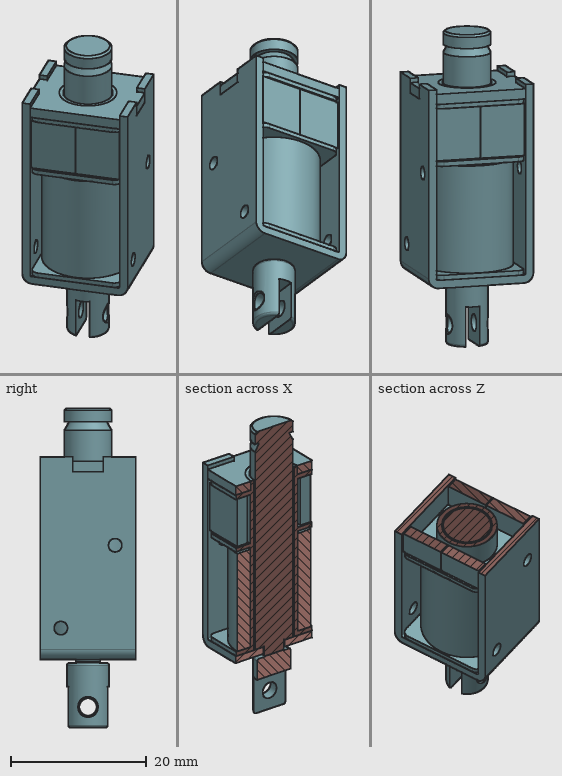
import cadquery as cq

FRAME_WIDTH = 16.1
FRAME_DEPTH = 14.1
FRAME_HEIGHT = 29.85
WALL = 1.2
BEND_RADIUS = 1.5
INNER_BEND_RADIUS = BEND_RADIUS - WALL
INNER_WIDTH = FRAME_WIDTH - 2 * WALL
SIDE_HOLE_DIAMETER = 1.97
SIDE_HOLE_Y = 4.0
SIDE_HOLE_LOW_Z = 4.65
SIDE_HOLE_HIGH_Z = 16.83

PLATE_TOP = 29.2
PLATE_THICKNESS = 1.55
PLATE_BOTTOM = PLATE_TOP - PLATE_THICKNESS
TAB_WIDTH = 4.4

BORE_RADIUS = 3.65
COLLAR_RADIUS = 4.25
SLEEVE_RADIUS = 4.45
FLANGE_THICKNESS = 0.7
FLANGE_WIDTH = INNER_WIDTH
FLANGE_DEPTH = 14.0
FLANGE_CORNER = 1.15
MIDDLE_FLANGE_BOTTOM = 18.3
MIDDLE_FLANGE_TOP = MIDDLE_FLANGE_BOTTOM + FLANGE_THICKNESS
UPPER_FLANGE_BOTTOM = PLATE_BOTTOM - FLANGE_THICKNESS
BOBBIN_BOTTOM = WALL
LOWER_FLANGE_TOP = BOBBIN_BOTTOM + FLANGE_THICKNESS

COIL_RADIUS = 6.8
COIL_TOP = 18.0

MAGNET_GAP = 0.1
MAGNET_FLOOR_GAP = 0.15
MAGNET_WIDTH = 6.67
MAGNET_THICKNESS = 1.9
MAGNET_BOTTOM = MIDDLE_FLANGE_TOP + MAGNET_FLOOR_GAP
MAGNET_FACE_Y = 6.75

HEAD_RADIUS = 3.52
HEAD_TOP = 37.0
HEAD_CHAMFER = 0.35
GROOVE_RADIUS = 2.8
GROOVE_TOP = 34.95
GROOVE_BOTTOM = 33.75
ROD_RADIUS = 1.85
ROD_CHAMFER = 0.2
ROD_CLEARANCE = 0.15

TOTAL_HEIGHT = 47.0
FORK_RADIUS = 3.1
FORK_TOP = -0.45
FORK_BOTTOM = HEAD_TOP - TOTAL_HEIGHT
FORK_ROUNDING = 0.38
SLOT_WIDTH = 2.1
SLOT_TOP = -3.95
PIN_HOLE_RADIUS = 1.25
PIN_HOLE_Z = -6.95
PIN_HOLE_CHAMFER = 0.25


def cylinder(radius, bottom, top):
    return cq.Workplane("XY").workplane(offset=bottom).circle(radius).extrude(top - bottom)


def block(width, depth, bottom, top):
    return cq.Workplane("XY").workplane(offset=bottom).rect(width, depth).extrude(top - bottom)


def make_frame():
    frame = block(FRAME_WIDTH, FRAME_DEPTH, 0, FRAME_HEIGHT).edges("|Y and <Z").fillet(BEND_RADIUS)
    cavity = block(INNER_WIDTH, FRAME_DEPTH, WALL, FRAME_HEIGHT)
    frame = frame.cut(cavity.edges("|Y and <Z").fillet(INNER_BEND_RADIUS))
    frame = frame.cut(block(FRAME_WIDTH, TAB_WIDTH, PLATE_BOTTOM, FRAME_HEIGHT))
    frame = frame.cut(cylinder(ROD_RADIUS + ROD_CLEARANCE, 0, WALL))
    side_holes = (
        cq.Workplane("YZ")
        .pushPoints([(SIDE_HOLE_Y, SIDE_HOLE_HIGH_Z), (-SIDE_HOLE_Y, SIDE_HOLE_LOW_Z)])
        .circle(SIDE_HOLE_DIAMETER / 2)
        .extrude(FRAME_WIDTH, both=True)
    )
    return frame.cut(side_holes)


def make_top_plate():
    plate = block(INNER_WIDTH, FRAME_DEPTH, PLATE_BOTTOM, PLATE_TOP)
    plate = plate.union(block(FRAME_WIDTH, TAB_WIDTH, PLATE_BOTTOM, PLATE_TOP))
    return plate.cut(cylinder(COLLAR_RADIUS, PLATE_BOTTOM, PLATE_TOP))


def make_bobbin():
    bobbin = cylinder(SLEEVE_RADIUS, BOBBIN_BOTTOM, PLATE_BOTTOM)
    bobbin = bobbin.union(cylinder(COLLAR_RADIUS, PLATE_BOTTOM, PLATE_TOP))
    for bottom in (BOBBIN_BOTTOM, MIDDLE_FLANGE_BOTTOM, UPPER_FLANGE_BOTTOM):
        flange = block(FLANGE_WIDTH, FLANGE_DEPTH, bottom, bottom + FLANGE_THICKNESS)
        bobbin = bobbin.union(flange.edges("|Z").fillet(FLANGE_CORNER))
    bobbin = bobbin.cut(cylinder(BORE_RADIUS, BOBBIN_BOTTOM, PLATE_TOP))
    return bobbin.cut(make_frame())


def make_coil():
    coil = cylinder(COIL_RADIUS, LOWER_FLANGE_TOP, COIL_TOP)
    return coil.cut(cylinder(SLEEVE_RADIUS, LOWER_FLANGE_TOP, COIL_TOP))


def make_magnet(x_side, y_side):
    x = x_side * (MAGNET_GAP + MAGNET_WIDTH) / 2
    y = y_side * (MAGNET_FACE_Y - MAGNET_THICKNESS / 2)
    magnet = block(MAGNET_WIDTH, MAGNET_THICKNESS, MAGNET_BOTTOM, UPPER_FLANGE_BOTTOM)
    return magnet.translate((x, y, 0))


def make_plunger():
    profile = [
        (0, HEAD_TOP),
        (HEAD_RADIUS - HEAD_CHAMFER, HEAD_TOP),
        (HEAD_RADIUS, HEAD_TOP - HEAD_CHAMFER),
        (HEAD_RADIUS, GROOVE_TOP),
        (GROOVE_RADIUS, GROOVE_TOP),
        (HEAD_RADIUS, GROOVE_BOTTOM),
        (HEAD_RADIUS, WALL),
        (ROD_RADIUS, WALL),
        (ROD_RADIUS, FORK_TOP + ROD_CHAMFER),
        (ROD_RADIUS - ROD_CHAMFER, FORK_TOP),
        (0, FORK_TOP),
    ]
    return cq.Workplane("XZ").polyline(profile).close().revolve(360, (0, 0, 0), (0, 1, 0))


def make_fork():
    fork = cylinder(FORK_RADIUS, FORK_BOTTOM, FORK_TOP).edges().fillet(FORK_ROUNDING)
    pin_hole = (
        cq.Workplane("YZ").center(0, PIN_HOLE_Z).circle(PIN_HOLE_RADIUS).extrude(FORK_RADIUS, both=True)
    )
    fork = fork.cut(pin_hole)
    for side in (-1, 1):
        rim = cq.selectors.BoxSelector(
            (side * FORK_RADIUS / 2, -PIN_HOLE_RADIUS, PIN_HOLE_Z - PIN_HOLE_RADIUS),
            (side * FORK_RADIUS, PIN_HOLE_RADIUS, PIN_HOLE_Z + PIN_HOLE_RADIUS),
        )
        fork = fork.edges(rim).chamfer(PIN_HOLE_CHAMFER)
    return fork.cut(block(SLOT_WIDTH, 2 * FORK_RADIUS, FORK_BOTTOM, SLOT_TOP))


frame = make_frame()
top_plate = make_top_plate()
bobbin = make_bobbin()
coil = make_coil()
magnets = [make_magnet(x_side, y_side) for x_side in (-1, 1) for y_side in (-1, 1)]
plunger = make_plunger()
fork = make_fork()

result = cq.Compound.makeCompound(
    [
        frame.val(),
        top_plate.val(),
        bobbin.val(),
        coil.val(),
        *[magnet.val() for magnet in magnets],
        plunger.val(),
        fork.val(),
    ]
)